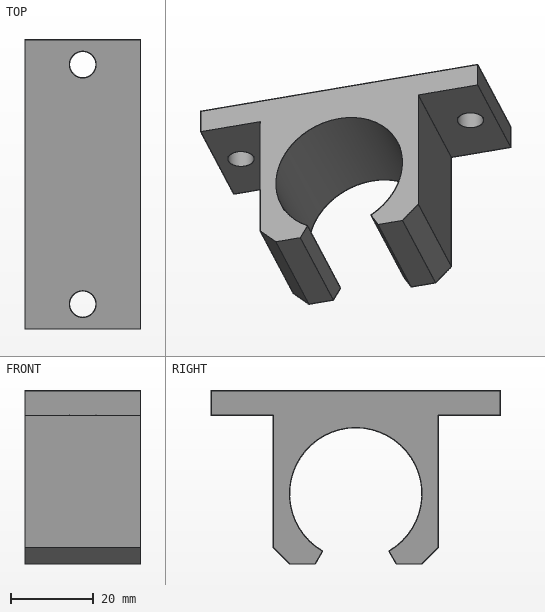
import cadquery as cq
import math

plate_length = 70.0
plate_thickness = 6.0
width = 28.0
hole_diameter = 6.4
hole_offset = 29.0

total_height = 42.0
clip_length = 40.0
corner_chamfer = 4.0
bore_diameter = 32.0
bore_depth = 25.0
mouth_half_angle = 30.0


def make_plate():
    plate = cq.Workplane("XY").box(width, plate_length, plate_thickness, centered=(True, True, False))
    plate = plate.translate((0, 0, -plate_thickness))
    return (
        plate.faces(">Z").workplane()
        .pushPoints([(0, -hole_offset), (0, hole_offset)])
        .hole(hole_diameter)
    )


def make_clip_block():
    clip_height = total_height - plate_thickness
    block = cq.Workplane("XY").box(width, clip_length, clip_height, centered=(True, True, False))
    block = block.translate((0, 0, -total_height))
    return block.faces("<Z").edges("|X").chamfer(corner_chamfer)


def make_bore():
    return (
        cq.Workplane("YZ").center(0, -bore_depth)
        .circle(bore_diameter / 2)
        .extrude(width / 2, both=True)
    )


def make_mouth():
    wedge_depth = total_height - bore_depth
    wedge_half_width = wedge_depth * math.tan(math.radians(mouth_half_angle))
    return (
        cq.Workplane("YZ")
        .polyline([
            (0, -bore_depth),
            (-wedge_half_width, -total_height),
            (wedge_half_width, -total_height),
        ])
        .close()
        .extrude(width / 2, both=True)
    )


result = make_plate().union(make_clip_block()).cut(make_bore()).cut(make_mouth())